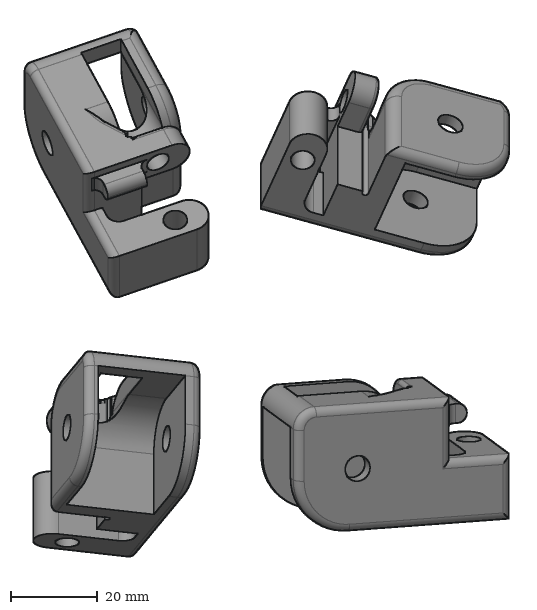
import cadquery as cq
import math

length = 52.1
width = 28.0
height = 30.0

top_corner_radius = 5.0
bottom_corner_radius = 13.0
step_x = 37.6
step_height = 15.5
rear_end_x = 30.0
rear_end_radius = 10.0
front_edge_radius = 2.0
rear_edge_radius = 3.0

front_wall = 4.0
rear_wall = 3.0

pivot_x = 15.0
pivot_z = 15.0
pivot_diameter = 6.0
cavity_radius = 10.0

lug_hole_diameter = 5.5
lug_hole_y = 18.0
lug_radius = 4.5
lug_tip_y = 26.0
lug_axis_z = height - lug_radius
channel_radius = 5.0
channel_start_x = 4.5
upright_lug_x = 31.5
upright_lug_edge_radius = 1.0
gap_end_y = 12.9
flat_lug_axis_x = length - lug_radius
flat_lug_root_radius = 3.0

slant_start_y = 7.3
slant_angle = 33.3
slant_edge_radius = 1.2
runout_shares = (0.03, 0.2, 0.4, 0.6, 0.8, 1.0)
slant_start_x = rear_end_x - rear_end_radius
slant_slope = math.tan(math.radians(slant_angle))
core_depth = slant_start_y + (rear_end_x - slant_start_x) * slant_slope

tongue_tip_x = 42.5
tongue_thickness = 4.6
tongue_y_min = 3.3
tongue_y_max = 13.15
tongue_root_radius = 2.0
nose_flat = 0.01


def box(x0, x1, y0, y1, z0, z1):
    return cq.Workplane("XY").box(x1 - x0, y1 - y0, z1 - z0, centered=False).translate((x0, y0, z0))


def cylinder_x(radius, x0, x1, y, z):
    return cq.Workplane("YZ", origin=(x0, y, z)).circle(radius).extrude(x1 - x0)


def cylinder_y(radius, y0, y1, x, z):
    return cq.Workplane("XZ", origin=(x, y0, z)).circle(radius).extrude(y0 - y1)


def rounded_left_end(outline):
    """Close an outline that has reached the top face, around the left end, to the bottom face."""
    return (
        outline.lineTo(top_corner_radius, height)
        .radiusArc((0, height - top_corner_radius), -top_corner_radius)
        .lineTo(0, bottom_corner_radius)
        .radiusArc((bottom_corner_radius, 0), -bottom_corner_radius)
        .close()
    )


def rear_profile(y0, y1):
    """Side outline with the rounded rear end, from y0 to y1."""
    outline = (
        cq.Workplane("XZ", origin=(0, y0, 0))
        .moveTo(bottom_corner_radius, 0)
        .lineTo(rear_end_x, 0)
        .lineTo(rear_end_x, height - rear_end_radius)
        .radiusArc((slant_start_x, height), -rear_end_radius)
    )
    return rounded_left_end(outline).extrude(y0 - y1)


def front_body():
    """Front slab with the full side outline, rounded along its front edges."""
    outline = (
        cq.Workplane("XZ")
        .moveTo(bottom_corner_radius, 0)
        .lineTo(length, 0)
        .lineTo(length, step_height)
        .lineTo(step_x, step_height)
        .lineTo(step_x, height)
    )
    body = rounded_left_end(outline).extrude(-core_depth)
    body = body.faces("<Y").edges().fillet(front_edge_radius)
    return body.cut(box(step_x, length, front_wall, core_depth, 0, height))


def rear_body():
    """Rear part of the housing; its top and end edges are rounder than the rest of the rear outline."""
    overlap_y = core_depth / 2
    body = rear_profile(overlap_y, width).faces(">Y").edges().fillet(front_edge_radius)
    limit = (
        cq.Workplane("XZ", origin=(0, overlap_y, 0))
        .moveTo(-rear_end_x, -height)
        .lineTo(rear_end_x, -height)
        .lineTo(rear_end_x, height - rear_end_radius)
        .radiusArc((slant_start_x, height), -rear_end_radius)
        .lineTo(-rear_end_x, height)
        .close()
        .extrude(overlap_y - width)
        .faces(">Y")
        .edges()
        .fillet(rear_edge_radius)
    )
    return body.intersect(limit)


def upright_lug():
    """Lug with a round tip, its hole along X."""
    bottom = lug_axis_z - lug_radius
    center_y = lug_tip_y - lug_radius
    lug = box(upright_lug_x, step_x, front_wall, center_y, bottom, height)
    lug = lug.union(cylinder_x(lug_radius, upright_lug_x, step_x, center_y, lug_axis_z))
    return lug.faces("<X").edges("not <Y").fillet(upright_lug_edge_radius)


def flat_lug():
    """Lug with a round tip on the low end of the front wall, its hole along Z.

    It starts halfway into the wall, behind the rounded front edges.
    """
    left = length - 2 * lug_radius
    r = flat_lug_root_radius
    outline = (
        cq.Workplane("XY")
        .moveTo(length, front_wall / 2)
        .lineTo(length, lug_tip_y - lug_radius)
        .threePointArc((flat_lug_axis_x, lug_tip_y), (left, lug_tip_y - lug_radius))
        .lineTo(left, front_wall + r)
        .radiusArc((left - r, front_wall), r)
        .lineTo(left - r, front_wall / 2)
        .close()
    )
    return outline.extrude(step_height)


def slant_y(x):
    return slant_start_y + (x - slant_start_x) * slant_slope


def slant_notch():
    """Space above the rounded rear end, bounded by the slanted wall and the upright lug."""
    plan = (
        cq.Workplane("XY")
        .moveTo(slant_start_x, slant_start_y)
        .lineTo(upright_lug_x, slant_y(upright_lug_x))
        .lineTo(upright_lug_x, width)
        .lineTo(slant_start_x, width)
        .close()
        .extrude(height)
    )
    return plan.cut(rear_profile(0, width))


def slant_rounding():
    """Space above the rounded top edge of the slanted wall.

    The rounding is tangent to the top face. Where the wall is lower than the radius,
    it runs out at the foot of the wall, so it narrows to nothing where the wall begins.
    """
    r = slant_edge_radius
    angle = math.radians(slant_angle)
    full_height_x = slant_start_x + math.sqrt(rear_end_radius**2 - (rear_end_radius - r) ** 2)
    runout = full_height_x - slant_start_x
    stations = [slant_start_x + runout * share for share in runout_shares]

    def section(x):
        drop = rear_end_radius - math.sqrt(rear_end_radius**2 - (x - slant_start_x) ** 2)
        depth = min(drop, r)
        reach = math.sqrt(r**2 - (r - depth) ** 2)
        plane = cq.Plane(
            origin=(x, slant_y(x), height),
            xDir=(math.sin(angle), -math.cos(angle), 0),
            normal=(-math.cos(angle), -math.sin(angle), 0),
        )
        outline = cq.Workplane(plane).moveTo(0, -depth).radiusArc((reach, 0), r)
        return outline.lineTo(0, 0).close()

    runout_part = cq.Solid.makeLoft([section(x).val() for x in stations])
    end_x = upright_lug_x + upright_lug_edge_radius - r * math.sin(angle)
    full_length = (end_x - full_height_x) / math.cos(angle)
    full_part = section(full_height_x).extrude(-full_length)
    return full_part.union(cq.Workplane(runout_part))


def gap():
    """Round-ended slit between the rear end and the upright lug."""
    radius = (upright_lug_x - rear_end_x) / 2
    middle = rear_end_x + radius
    round_end = cq.Workplane("XY").center(middle, gap_end_y + radius).circle(radius).extrude(height)
    return round_end.union(box(rear_end_x, upright_lug_x, gap_end_y + radius, width, 0, height))


def tongue():
    """Flat tongue with a rounded nose; it flares out sideways at the step face."""
    r = tongue_root_radius
    half = tongue_thickness / 2
    plan = (
        cq.Workplane("XY", origin=(0, 0, lug_axis_z - half))
        .moveTo(step_x, tongue_y_min - r)
        .radiusArc((step_x + r, tongue_y_min), r)
        .lineTo(tongue_tip_x, tongue_y_min)
        .lineTo(tongue_tip_x, tongue_y_max)
        .lineTo(step_x + r, tongue_y_max)
        .radiusArc((step_x, tongue_y_max + r), r)
        .close()
        .extrude(tongue_thickness)
    )
    return plan.edges("|Y and >X").fillet(half - nose_flat / 2)


def cavity():
    """Space between the walls: flat roof left of the pivot, round around it."""
    roof = pivot_z + cavity_radius
    rear = width - rear_wall
    room = box(0, pivot_x, front_wall, rear, 0, roof)
    room = room.union(box(0, pivot_x + cavity_radius, front_wall, rear, 0, pivot_z))
    return room.union(cylinder_y(cavity_radius, front_wall, rear, pivot_x, pivot_z))


def channel():
    """Channel along X, open at the top, with a round bottom."""
    y0 = lug_hole_y - channel_radius
    y1 = lug_hole_y + channel_radius
    slot = box(channel_start_x, rear_end_x, y0, y1, lug_axis_z, height)
    return slot.union(cylinder_x(channel_radius, channel_start_x, rear_end_x, lug_hole_y, lug_axis_z))


def pivot_hole():
    return cylinder_y(pivot_diameter / 2, 0, width, pivot_x, pivot_z)


def upright_lug_hole():
    return cylinder_x(lug_hole_diameter / 2, upright_lug_x, step_x, lug_hole_y, lug_axis_z)


def flat_lug_hole():
    center = cq.Workplane("XY").center(flat_lug_axis_x, lug_hole_y)
    return center.circle(lug_hole_diameter / 2).extrude(step_height)


core = front_body().union(upright_lug()).cut(slant_notch()).cut(slant_rounding())
result = core.union(rear_body()).cut(gap()).union(flat_lug()).union(tongue())
for space in (cavity, channel, pivot_hole, upright_lug_hole, flat_lug_hole):
    result = result.cut(space())